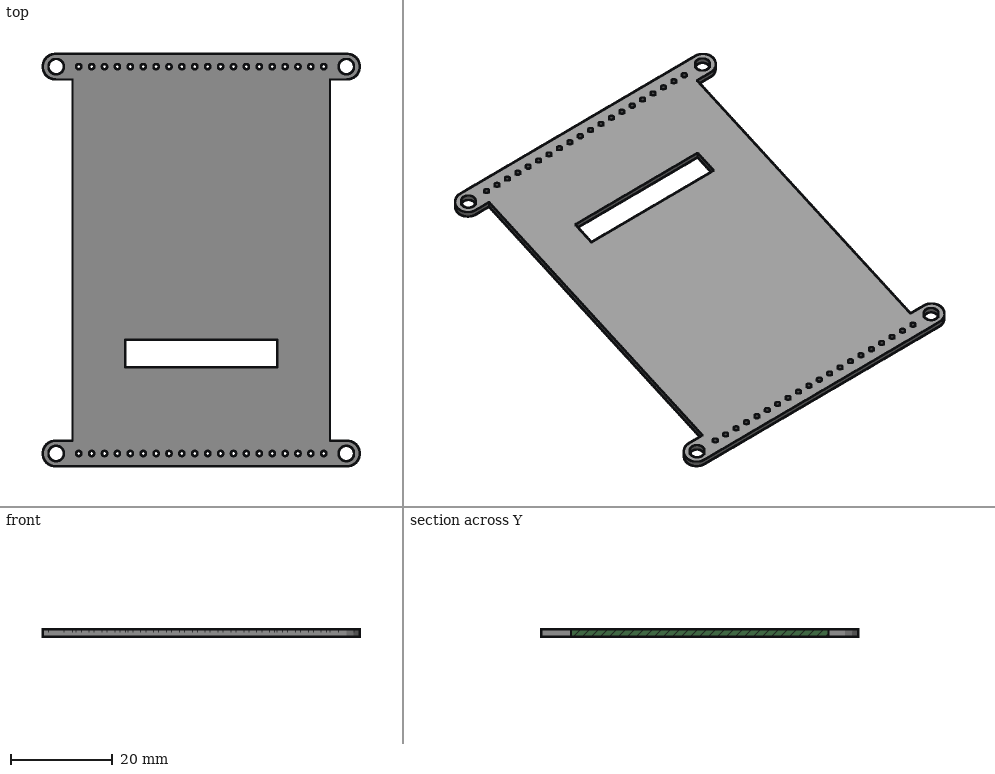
import cadquery as cq

pitch = 2.54
thickness = 1.51
overall_width = 62.48
overall_length = 81.28
body_width = 20 * pitch

strip_width = 2 * pitch
strip_y = (overall_length - strip_width) / 2

mount_x = 11.25 * pitch
mount_diameter = 3.0
pin_diameter = 1.0
pins_per_row = 20

window_width = 11.75 * pitch
window_height = 5.36
window_y = -7.25 * pitch


def make_outline():
    """Rectangular body with a round-ended strip across each Y end."""
    body = cq.Workplane("XY").rect(body_width, 2 * strip_y).extrude(thickness)
    strips = (
        cq.Workplane("XY")
        .pushPoints([(0, -strip_y), (0, strip_y)])
        .slot2D(overall_width, strip_width)
        .extrude(thickness)
    )
    return body.union(strips).clean()


def top_plane(board):
    """Workplane on the top face, centred on the board."""
    return board.faces(">Z").workplane(origin=(0, 0, thickness))


def cut_mounting_holes(board):
    """One through hole in each rounded ear."""
    return (
        top_plane(board)
        .rarray(2 * mount_x, 2 * strip_y, 2, 2)
        .hole(mount_diameter)
    )


def cut_pin_rows(board):
    """A row of evenly spaced pin holes along the middle of each strip."""
    return (
        top_plane(board)
        .rarray(pitch, 2 * strip_y, pins_per_row, 2)
        .hole(pin_diameter)
    )


def cut_window(board):
    """Rectangular opening through the body."""
    return (
        top_plane(board)
        .center(0, window_y)
        .rect(window_width, window_height)
        .cutThruAll()
    )


result = make_outline()
result = cut_mounting_holes(result)
result = cut_pin_rows(result)
result = cut_window(result)